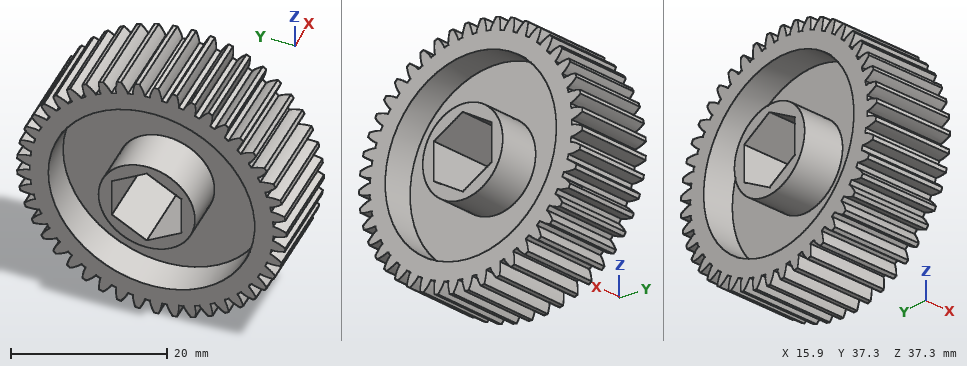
import cadquery as cq
import math

tooth_count = 45
tip_diameter = 37.3
pressure_angle = math.radians(20)
dedendum_factor = 1.25
first_tooth_angle = math.pi
flank_points = 5

face_width = 12.7
hub_length = 15.9
hub_diameter = 13.35
recess_diameter = 28.57
web_thickness = 2.75
hex_across_flats = 9.62

module = tip_diameter / (tooth_count + 2)
tip_radius = tip_diameter / 2
pitch_radius = module * tooth_count / 2
root_radius = pitch_radius - dedendum_factor * module
base_radius = pitch_radius * math.cos(pressure_angle)
pitch_angle = 2 * math.pi / tooth_count


def polar(radius, angle):
    return (radius * math.cos(angle), radius * math.sin(angle))


def involute(angle):
    return math.tan(angle) - angle


def half_tooth_angle(radius):
    """Half the angle a tooth fills at the given radius, for equal teeth and gaps at the pitch circle."""
    flank_angle = math.acos(base_radius / radius)
    return pitch_angle / 4 + involute(pressure_angle) - involute(flank_angle)


def centered_plane(length):
    """Sketch plane from which an extrusion of this length along X straddles the origin."""
    return cq.Workplane("YZ", origin=(-length / 2, 0, 0))


def gear_blank():
    radius_step = (tip_radius - root_radius) / (flank_points - 1)
    flank_radii = [root_radius + i * radius_step for i in range(flank_points)]
    start = polar(root_radius, first_tooth_angle - half_tooth_angle(root_radius))
    outline = centered_plane(face_width).moveTo(*start)
    for tooth in range(tooth_count):
        center = first_tooth_angle + tooth * pitch_angle
        rising = [polar(r, center - half_tooth_angle(r)) for r in flank_radii]
        falling = [polar(r, center + half_tooth_angle(r)) for r in reversed(flank_radii)]
        gap_middle = polar(root_radius, center + pitch_angle / 2)
        next_root = polar(root_radius, center + pitch_angle - half_tooth_angle(root_radius))
        if tooth == tooth_count - 1:
            next_root = start
        outline = outline.spline(rising[1:], includeCurrent=True)
        outline = outline.threePointArc(polar(tip_radius, center), falling[0])
        outline = outline.spline(falling[1:], includeCurrent=True)
        outline = outline.threePointArc(gap_middle, next_root)
    return outline.close().extrude(face_width)


def cylinder(diameter, length):
    """Cylinder on the X axis, centred on the origin."""
    return centered_plane(length).circle(diameter / 2).extrude(length)


def hex_bore():
    """Through hexagon with two flats facing Y and two corners pointing along Z."""
    across_corners = hex_across_flats / math.cos(math.pi / 6)
    bore = centered_plane(hub_length).polygon(6, across_corners).extrude(hub_length)
    return bore.rotate((0, 0, 0), (1, 0, 0), 30)


rim = gear_blank().cut(cylinder(recess_diameter, face_width))
web = cylinder(recess_diameter, web_thickness)
hub = cylinder(hub_diameter, hub_length)
result = rim.union(web).union(hub).cut(hex_bore())